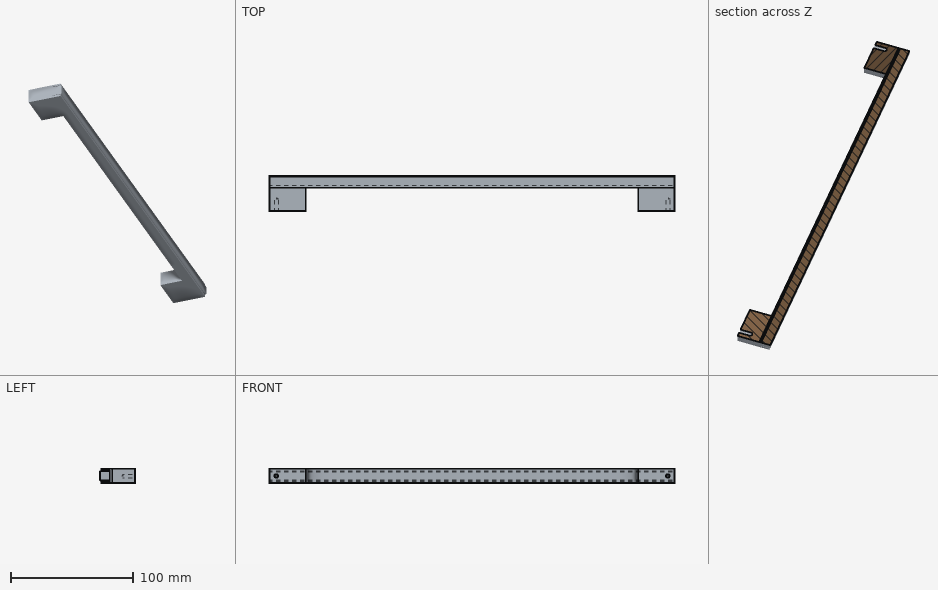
import cadquery as cq

length = 332.0
depth = 29.0
height = 12.0

foot_length = 30.0
foot_depth = 19.0
screw_hole_diameter = 3.0
screw_hole_depth = 10.0
screw_hole_tip_depth = 1.0
screw_hole_end_offset = 5.5

strip_protrusion = 1.0
web_thickness = 2.0
flange_thickness = 1.5
strip_height = 8.0
strip_edge_chamfer = 0.5
rail_depth = depth - foot_depth - strip_protrusion
groove_depth = rail_depth - web_thickness
groove_height = height - 2 * flange_thickness
strip_depth = groove_depth + strip_protrusion
groove_floor_y = foot_depth + web_thickness


def centered_bar(bar_length, bar_depth, bar_height, center_x, front_y):
    """Box centered in X and Z about center_x and zero, starting at front_y."""
    bar = cq.Workplane("XY").box(bar_length, bar_depth, bar_height, centered=(True, False, True))
    return bar.translate((center_x, front_y, 0))


def make_rail():
    """Channel rail with its groove open toward +Y and through both ends."""
    blank = centered_bar(length, rail_depth, height, 0, foot_depth)
    groove = centered_bar(length, groove_depth, groove_height, 0, groove_floor_y)
    return blank.cut(groove)


def make_strip():
    """Strip seated on the groove floor, clear of both flanges, with chamfered outer edges."""
    strip = centered_bar(length, strip_depth, strip_height, 0, groove_floor_y)
    return strip.faces(">Y").edges("|X").chamfer(strip_edge_chamfer)


def make_foot(end_side):
    """Foot flush with the rail end on end_side (-1 or 1), with a blind, cone-tipped screw hole."""
    foot = centered_bar(foot_length, foot_depth, height, end_side * (length - foot_length) / 2, 0)
    hole_x = end_side * (length / 2 - screw_hole_end_offset)
    screw_hole = (
        cq.Workplane("XY")
        .polyline([
            (0, 0),
            (screw_hole_diameter / 2, 0),
            (screw_hole_diameter / 2, screw_hole_depth),
            (0, screw_hole_depth + screw_hole_tip_depth),
        ])
        .close()
        .revolve(360, (0, 0, 0), (0, 1, 0))
        .translate((hole_x, 0, 0))
    )
    return foot.cut(screw_hole)


rail = make_rail()
strip = make_strip()
feet = [make_foot(end_side).val() for end_side in (-1, 1)]

result = cq.Compound.makeCompound([rail.val(), strip.val(), *feet])